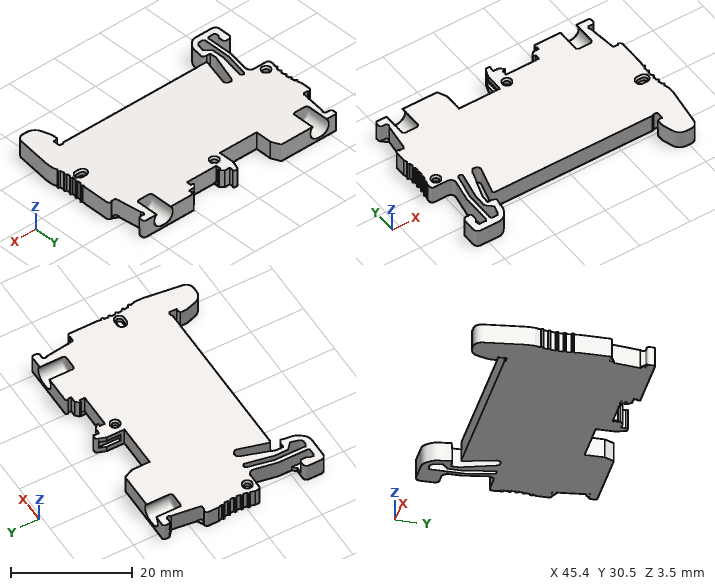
import cadquery as cq
import math


length = 45.4
height = 30.5
thickness = 3.5

body_right = 44.9
body_bottom = 6.05
shoulder_y = 23.05
lower_left_y = 12.58
slot_top_y = 12.55
stem_left = 3.4
hook_floor_y = 1.35
web_edge_y = 4.0
marker_floor_y = 25.4
latch_floor_y = 27.5
latch_notch_y = 28.45

undercut_floor = 0.2
floor_overlap = 0.05
foot_web = 0.85

groove_width = 3.15
groove_length = 4.8
groove_flat = 0.65
groove_radius = 1.73
groove_end_radius = 0.4
groove_centers_x = (4.95, 39.5)

recess_outer = 1.8
recess_inner = 1.2
recess_taper_depth = 0.4
recess_depth = 1.15
round_recesses = ((1.9, 14.05), (24.25, 26.05))
long_recess = (42.9, 14.05)
long_recess_stretch = 0.75

post_x = 22.4
post_slot_depth = 0.6
post_slot_length = 3.85
post_slot_height = 1.45
post_slot_y = 26.1
post_slot_z = 1.15

left_grip_top = (0, 20.6)
left_grip_bottom = (0, 13.65)
left_grip_sagitta = 0.6
left_first_rib_y = 19.6
left_rib_pitch = 1.23

right_grip_top = (body_right, 17.25)
right_grip_bottom = (45.17, 10.62)
right_grip_sagitta = 0.35
right_first_rib_y = 16.35
right_rib_pitch = 1.3

rib_count = 5
rib_height = 0.25
rib_base = 0.55
rib_tip = 0.25


def mirrored(points):
    """Reflect corners across the housing's middle, keeping the running order along the outline."""
    return [(body_right - x, y, r) for x, y, r in reversed(points)]


def rounded_prism(corners, depth):
    """Extrude a closed polygon of (x, y, radius) corners, rounding each corner to its radius."""
    stretches = []
    for i, (x, y, radius) in enumerate(corners):
        corner = cq.Vector(x, y)
        before = cq.Vector(*corners[i - 1][:2]) - corner
        after = cq.Vector(*corners[(i + 1) % len(corners)][:2]) - corner
        if radius == 0:
            stretches.append([corner])
            continue
        half_angle = before.getAngle(after) / 2
        setback = radius / math.tan(half_angle)
        bisector = (before.normalized() + after.normalized()).normalized()
        start = corner + before.normalized() * setback
        end = corner + after.normalized() * setback
        middle = corner + bisector * (radius / math.sin(half_angle) - radius)
        stretches.append([start, middle, end])

    path = cq.Workplane("XY").moveTo(*stretches[0][-1].toTuple()[:2])
    for stretch in stretches[1:] + stretches[:1]:
        path = path.lineTo(*stretch[0].toTuple()[:2])
        if len(stretch) == 3:
            path = path.threePointArc(stretch[1].toTuple()[:2], stretch[2].toTuple()[:2])
    return path.close().extrude(depth)


left_notch = [
    (0, shoulder_y, 0.55),
    (0.65, shoulder_y, 0),
    (0.73, 22.9, 0),
    (1.7, 22.9, 0.23),
    (2.35, 28.25, 0),
    (2.55, 28.6, 0.15),
    (2.45, 29.1, 0.2),
    (1.1, 29.1, 0.45),
    (1.1, height, 0.4),
]
marker_pocket = [
    (13.45, height, 0.25),
    (14.25, 28.75, 0),
    (14.25, marker_floor_y, 0),
    (post_x, marker_floor_y, 0),
    (post_x, 28.75, 0),
]
latch_pocket = [
    (23.0, height, 0.35),
    (24.0, height, 0.2),
    (23.85, 30.1, 0),
    (23.85, 29.37, 0),
    (24.92, 29.37, 0),
    (25.6, 28.75, 0),
    (25.6, latch_notch_y, 0),
    (25.1, latch_notch_y, 0),
    (25.1, latch_floor_y, 0),
    (31.6, latch_floor_y, 0),
    (31.6, latch_notch_y, 0),
    (31.1, latch_notch_y, 0),
    (31.1, 28.75, 0),
    (31.75, 29.37, 0),
    (32.82, 29.37, 0),
    (32.82, 29.9, 0),
    (32.65, 30.0, 0),
    (32.65, height, 0.23),
]
right_side = [
    (*right_grip_top, 0),
    (*right_grip_bottom, 0),
    (length, 9.9, 0),
    (length, 8.4, 0),
]
fixed_foot = [
    (44.3, 0, 1.45),
    (40.7, 0, 2.05),
    (39.6, 3.35, 1.8),
    (39.6, 4.65, 0),
    (40.05, 4.75, 0),
    (40.55, 4.75, 0),
    (40.55, 6.2, 0.23),
    (39.85, 6.2, 0),
    (39.5, body_bottom, 0),
]
spring_foot = [
    (7.75, body_bottom, 0.25),
    (9.55, slot_top_y, 0.73),
    (7.95, slot_top_y, 0.65),
    (5.9, 6.2, 0),
    (5.9, 4.8, 0),
    (6.67, 4.8, 0),
    (7.5, 4.55, 0.15),
    (7.3, 3.55, 0),
    (7.15, 1.75, 2.72),
    (5.7, 0, 2.05),
    (0.3, 0, 0.9),
    (0.3, web_edge_y, 0.75),
    (2.72, web_edge_y, 0),
    (stem_left, 4.7, 0),
    (stem_left, 7.2, 0),
    (4.18, 11.5, 0),
    (4.18, lower_left_y, 0.9),
    (0, lower_left_y, 0.6),
]
outline = (
    left_notch + marker_pocket + latch_pocket + mirrored(left_notch) + right_side + fixed_foot + spring_foot
)
housing = rounded_prism(outline, thickness)

spring_slit = [
    (5.2, slot_top_y, 0.35),
    (4.18, 7.5, 0),
    (4.18, hook_floor_y, 0.35),
    (5.68, hook_floor_y, 0.7),
    (6.2, 3.35, 0.25),
    (5.0, 4.45, 0.25),
    (5.0, 7.05, 0),
    (6.1, slot_top_y, 0.35),
]
curl_gap = [
    (1.45, web_edge_y, 0),
    (2.05, web_edge_y, 0.4),
    (2.05, 2.65, 0.23),
    (1.73, 2.25, 0.23),
    (1.73, hook_floor_y, 0.25),
    (stem_left, hook_floor_y, 0.3),
    (stem_left, 4.7, 0),
    (2.72, web_edge_y, 0),
]
housing = housing.cut(rounded_prism(spring_slit, thickness))
housing = housing.cut(rounded_prism(curl_gap, thickness).translate((0, 0, foot_web)))

post_slot = cq.Workplane("XY").box(post_slot_depth, post_slot_length, post_slot_height, centered=False)
housing = housing.cut(post_slot.translate((post_x, post_slot_y, post_slot_z)))

lug_floor = [(1.25, 29.15, 0), (2.6, 29.15, 0), (2.6, 28.25, 0), (2.3, 28.25, 0)]
shoulder_floor = [(0.6, shoulder_y, 0), (1.75, 23.7, 0), (1.75, 22.85, 0), (0.6, 22.85, 0)]
latch_floors = [
    [
        (left, latch_floor_y - floor_overlap, 0),
        (right, latch_floor_y - floor_overlap, 0),
        (right, latch_notch_y + floor_overlap, 0),
        (left, latch_notch_y + floor_overlap, 0),
    ]
    for left, right in ((25.05, 25.6), (31.1, 31.65))
]
corner_floors = [lug_floor, shoulder_floor, mirrored(lug_floor), mirrored(shoulder_floor)] + latch_floors
for floor in corner_floors:
    housing = housing.union(rounded_prism(floor, undercut_floor))


def add_grip(body, top, bottom, sagitta, inward, first_rib_y, pitch):
    """Scoop the side between two (x, y) points and stand ribs on the scoop; inward is +1 or -1 along X."""
    chord = math.dist(top, bottom)
    radius = (chord**2 / 4 + sagitta**2) / (2 * sagitta)
    across_x = (top[1] - bottom[1]) / chord * inward
    across_y = (bottom[0] - top[0]) / chord * inward
    center_x = (top[0] + bottom[0]) / 2 - across_x * (radius - sagitta)
    center_y = (top[1] + bottom[1]) / 2 - across_y * (radius - sagitta)
    body = body.cut(cq.Workplane("XY").center(center_x, center_y).circle(radius).extrude(thickness))
    for i in range(rib_count):
        y = first_rib_y - i * pitch
        base_x = center_x + inward * math.sqrt(radius**2 - (y - center_y) ** 2)
        root_x = base_x + inward * rib_height
        tip_x = base_x - inward * rib_height
        rib = [
            (root_x, y + rib_base / 2, 0),
            (base_x, y + rib_base / 2, 0),
            (tip_x, y + rib_tip / 2, 0),
            (tip_x, y - rib_tip / 2, 0),
            (base_x, y - rib_base / 2, 0),
            (root_x, y - rib_base / 2, 0),
        ]
        body = body.union(rounded_prism(rib, thickness))
    return body


housing = add_grip(
    housing, left_grip_top, left_grip_bottom, left_grip_sagitta, 1, left_first_rib_y, left_rib_pitch
)
housing = add_grip(
    housing, right_grip_top, right_grip_bottom, right_grip_sagitta, -1, right_first_rib_y, right_rib_pitch
)


def wire_groove(center_x):
    center_depth = math.sqrt(groove_radius**2 - (groove_width / 2 - groove_flat / 2) ** 2)
    return (
        cq.Workplane("XZ", origin=(center_x, height, thickness - center_depth))
        .slot2D(groove_flat + 2 * groove_radius, 2 * groove_radius)
        .extrude(groove_length)
        .faces("<Y").edges().fillet(groove_end_radius)
    )


for center_x in groove_centers_x:
    housing = housing.cut(wire_groove(center_x))


def recess(x, y, stretch=0):
    def add_outline(plane, width):
        if stretch:
            return plane.slot2D(width + stretch, width)
        return plane.circle(width / 2)

    top = cq.Workplane("XY", origin=(x, y, thickness))
    mouth_bottom = add_outline(top, recess_outer).workplane(offset=-recess_taper_depth)
    mouth = add_outline(mouth_bottom, recess_inner).loft(ruled=True)
    return mouth.union(add_outline(top, recess_inner).extrude(-recess_depth))


for x, y in round_recesses:
    housing = housing.cut(recess(x, y))
housing = housing.cut(recess(*long_recess, long_recess_stretch))

result = housing